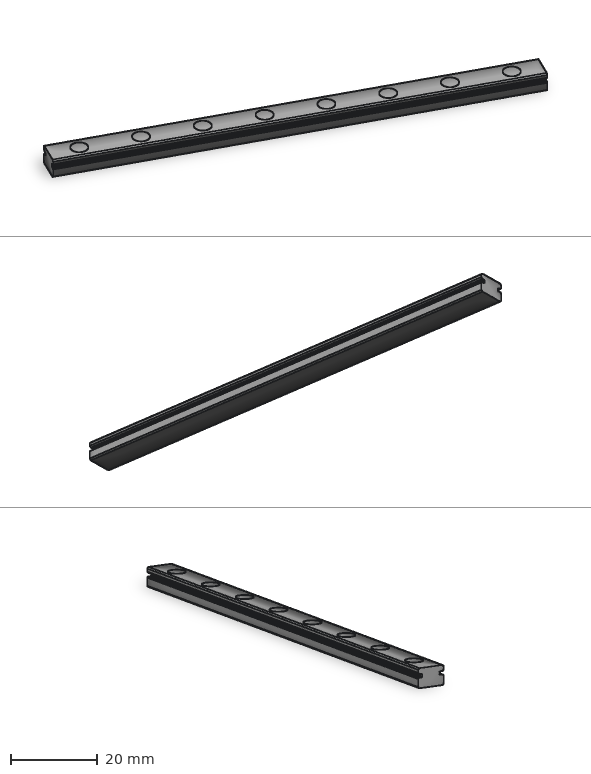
import cadquery as cq

length = 120.0
width = 7.0
height = 4.8

bottom_chamfer = 0.4
top_chamfer = 0.4

groove_bottom_z = 2.5
groove_height = 0.8
groove_depth = 1.1
groove_corner_chamfer = 0.18
upper_lip_chamfer = 0.4
lower_lip_chamfer = 0.2

recess_count = 8
recess_pitch = length / recess_count
recess_diameter = 4.2
recess_depth = 0.06


def rail_bar():
    """Rectangular bar along Y with its long edges bevelled."""
    return (
        cq.Workplane("XY")
        .box(width, length, height, centered=(True, True, False))
        .edges("|Y and >Z")
        .chamfer(top_chamfer)
        .edges("|Y and <Z")
        .chamfer(bottom_chamfer)
    )


def flank_groove(side):
    """Cutter for one flank: side is 1 for +X and -1 for -X."""
    edge = side * width / 2
    floor = edge - side * groove_depth
    top_z = groove_bottom_z + groove_height
    bevel_x = floor + side * groove_corner_chamfer
    outline = [
        (edge, groove_bottom_z - lower_lip_chamfer),
        (edge - side * lower_lip_chamfer, groove_bottom_z),
        (bevel_x, groove_bottom_z),
        (floor, groove_bottom_z + groove_corner_chamfer),
        (floor, top_z - groove_corner_chamfer),
        (bevel_x, top_z),
        (edge - side * upper_lip_chamfer, top_z),
        (edge, top_z + upper_lip_chamfer),
    ]
    return (
        cq.Workplane("XZ", origin=(0, length / 2, 0))
        .polyline(outline)
        .close()
        .extrude(length)
    )


def recesses():
    """Cutters for the row of round recesses, evenly spaced along Y."""
    return (
        cq.Workplane("XY", origin=(0, 0, height - recess_depth))
        .rarray(1.2, recess_pitch, 1, recess_count)
        .circle(recess_diameter / 2)
        .extrude(recess_depth)
    )


result = rail_bar().cut(recesses())
for side in (-1, 1):
    result = result.cut(flank_groove(side))